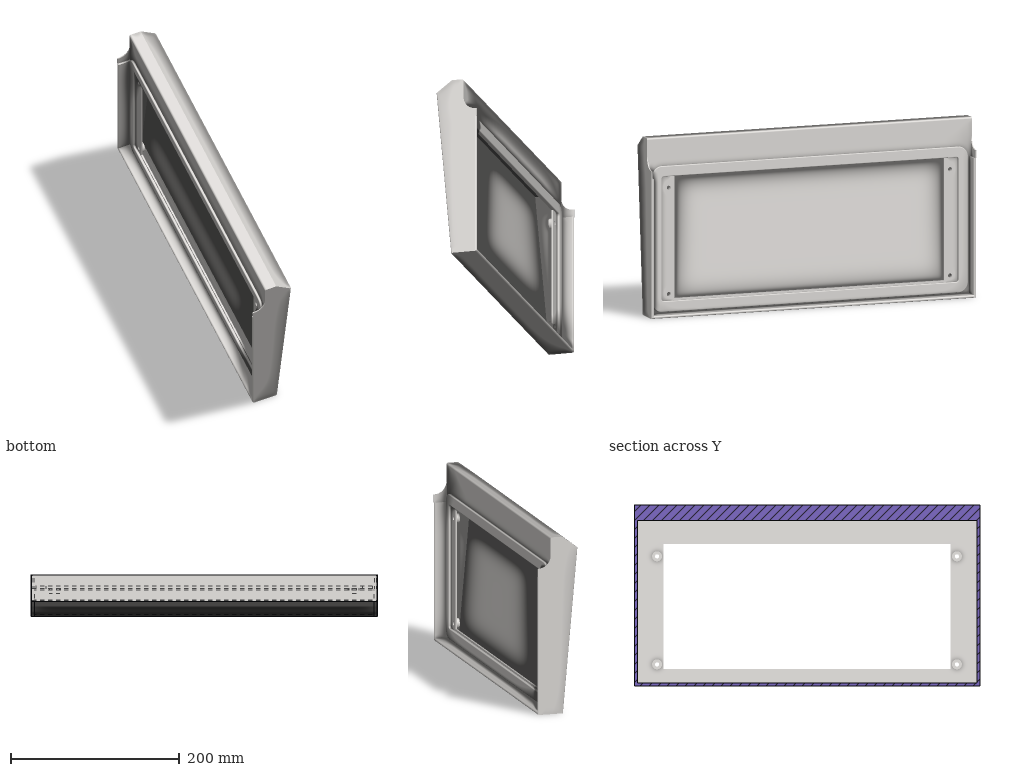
import cadquery as cq
WIDTH = 410
DEPTH = 49.5
HEIGHT = 215.0
SHELL = 2.0

FACE_Y = 16.0
RIDGE_Y = 30.5
BACK_TOP_Z = 200.5
BACK_BOTTOM_Y = 31.5
TOP_ROUND = 2.0
BACK_ROUND = 1.45

RIM = 3.5
RIM_TOP_Z = 168.0

EAR = 1.2
EAR_TOP_Z = 177.5
EAR_RADIUS = 14.8

BEZEL_WIDTH = 398.5
BEZEL_BOTTOM_Z = 5.0
BEZEL_TOP_Z = 181.0
BEZEL_RISE = 3.0
BEZEL_CORNER = 12.5
OPENING_WIDTH = 374.5
OPENING_BOTTOM_Z = 18.0
OPENING_TOP_Z = 168.0
OPENING_CORNER = 3.0
EDGE_ROUND = 1.0

WINDOW_WIDTH = 340.5
WINDOW_BOTTOM_Z = 20.5

BUSHING_DIAMETER = 12.0
BUSHING_BORE = 5.0
BUSHING_LENGTH = 6.0
BUSHING_X = 177.5
BUSHING_LOW_Z = 26.0
BUSHING_HIGH_Z = 153.8
BUSHING_PLACES = [(x, z) for x in (-BUSHING_X, BUSHING_X) for z in (BUSHING_LOW_Z, BUSHING_HIGH_Z)]

PANEL = 2.0
PANEL_WIDTH = WIDTH - 4 * SHELL
PANEL_BOTTOM_Z = 2 * SHELL
PANEL_TOP_Z = BACK_TOP_Z - 2 * SHELL


def along_x(points, width):
    """Prism of the given width, centred on X = 0, from an outline of (y, z) points."""
    return cq.Workplane("YZ").polyline(points).close().extrude(width / 2, both=True)


def block(width, y_range, z_range):
    """Box centred on X = 0 between two depths and two heights."""
    y0, y1 = y_range
    z0, z1 = z_range
    return cq.Workplane("XY").box(width, y1 - y0, z1 - z0, centered=(True, False, False)).translate((0, y0, z0))


def back_y(z):
    """Depth of the outer back surface at a height."""
    return BACK_BOTTOM_Y + (DEPTH - BACK_BOTTOM_Y) * z / BACK_TOP_Z


def make_body():
    """Upper block and body behind the tray, rounded along the back sides and the top front edge."""
    outline = [
        (FACE_Y, 0),
        (BACK_BOTTOM_Y, 0),
        (DEPTH, BACK_TOP_Z),
        (RIDGE_Y, HEIGHT),
        (FACE_Y, HEIGHT),
    ]
    body = along_x(outline, WIDTH)
    body = body.edges("|X and <Y and >Z").fillet(TOP_ROUND)
    return body.faces(">Y").edges("not(|X)").fillet(BACK_ROUND)


def make_rim():
    """U-shaped rim with a half-round front edge and mitred lower corners."""
    half_width = WIDTH / 2
    tip = RIM / 2
    path = (
        cq.Workplane("XZ")
        .moveTo(-half_width, RIM_TOP_Z)
        .lineTo(-half_width, 0)
        .lineTo(half_width, 0)
        .lineTo(half_width, RIM_TOP_Z)
    )
    section = (
        cq.Workplane("XY", origin=(-half_width, 0, RIM_TOP_Z))
        .moveTo(0, FACE_Y)
        .lineTo(0, tip)
        .threePointArc((tip, 0), (RIM, tip))
        .lineTo(RIM, FACE_Y)
        .close()
    )
    return section.sweep(path, transition="right")


def make_ears():
    arc_y = FACE_Y - EAR_RADIUS
    arc_z = EAR_TOP_Z + EAR_RADIUS
    dip = EAR_RADIUS * 0.5 ** 0.5
    ear = (
        cq.Workplane("YZ")
        .moveTo(0, RIM_TOP_Z)
        .lineTo(0, EAR_TOP_Z)
        .lineTo(arc_y, EAR_TOP_Z)
        .threePointArc((arc_y + dip, arc_z - dip), (FACE_Y, arc_z))
        .lineTo(FACE_Y, RIM_TOP_Z)
        .close()
        .extrude(EAR)
    )
    left = ear.translate((-WIDTH / 2, 0, 0))
    return left.union(left.mirror("YZ"))


def make_bezel():
    bezel = block(BEZEL_WIDTH, (FACE_Y - BEZEL_RISE, FACE_Y), (BEZEL_BOTTOM_Z, BEZEL_TOP_Z))
    bezel = bezel.edges("|Y").fillet(BEZEL_CORNER)
    opening = block(OPENING_WIDTH, (FACE_Y - BEZEL_RISE, FACE_Y), (OPENING_BOTTOM_Z, OPENING_TOP_Z))
    opening = opening.edges("|Y").fillet(OPENING_CORNER)
    return bezel.cut(opening).faces("<Y").edges().fillet(EDGE_ROUND)


def make_cavity():
    """Hollow behind the front wall, open through the back."""
    inner_y = FACE_Y + SHELL
    outline = [
        (inner_y, PANEL_BOTTOM_Z),
        (back_y(PANEL_BOTTOM_Z), PANEL_BOTTOM_Z),
        (back_y(PANEL_TOP_Z), PANEL_TOP_Z),
        (inner_y, PANEL_TOP_Z),
    ]
    return along_x(outline, PANEL_WIDTH)


def make_back_panel():
    """Leaning panel that closes the cavity, flush with the back."""
    outline = [
        (back_y(PANEL_BOTTOM_Z) - PANEL, PANEL_BOTTOM_Z),
        (back_y(PANEL_BOTTOM_Z), PANEL_BOTTOM_Z),
        (back_y(PANEL_TOP_Z), PANEL_TOP_Z),
        (back_y(PANEL_TOP_Z) - PANEL, PANEL_TOP_Z),
    ]
    return along_x(outline, PANEL_WIDTH)


def make_bushing():
    return (
        cq.Workplane("XZ")
        .circle(BUSHING_DIAMETER / 2)
        .circle(BUSHING_BORE / 2)
        .extrude(-BUSHING_LENGTH)
        .translate((0, FACE_Y, 0))
    )


def make_housing():
    housing = make_body().union(make_rim()).union(make_ears()).union(make_bezel())
    housing = housing.cut(make_cavity())
    window = block(WINDOW_WIDTH, (FACE_Y, FACE_Y + SHELL), (WINDOW_BOTTOM_Z, OPENING_TOP_Z))
    housing = housing.cut(window)
    holes = (
        cq.Workplane("XZ", origin=(0, FACE_Y, 0))
        .pushPoints(BUSHING_PLACES)
        .circle(BUSHING_DIAMETER / 2)
        .extrude(-SHELL)
    )
    return housing.cut(holes)


housing = make_housing()
back_panel = make_back_panel()
bushings = [make_bushing().translate((x, 0, z)) for x, z in BUSHING_PLACES]

result = cq.Compound.makeCompound(
    [housing.val(), back_panel.val(), *[bushing.val() for bushing in bushings]]
)